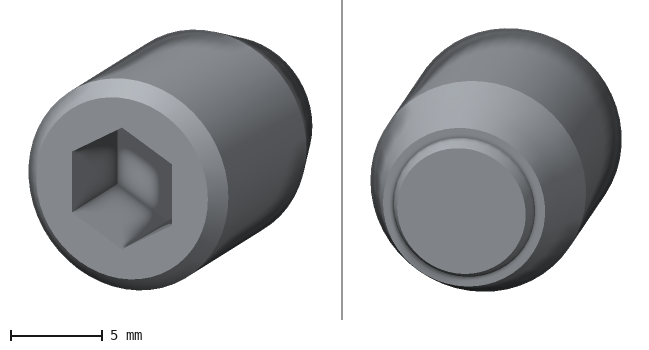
import cadquery as cq
import math

length = 16.0
body_radius = 6.0
chamfer = 0.85
cone_start = 11.17
body_end = 15.25
nose_radius = 4.51

socket_flats = 6.0
socket_depth = 6.0

ball_radius = 4.22
mouth_radius = 3.95
ball_center = body_end - math.sqrt(ball_radius**2 - mouth_radius**2)
flat_radius = math.sqrt(ball_radius**2 - (length - ball_center)**2)


def make_ball():
    """Sphere cut flat at the tip of the screw."""
    return (
        cq.Workplane("XY")
        .moveTo(0, ball_center - ball_radius)
        .threePointArc((ball_radius, ball_center), (flat_radius, length))
        .lineTo(0, length)
        .close()
        .revolve(360, (0, 0, 0), (0, 1, 0))
    )


def make_screw(ball):
    """Turned screw body with a hex socket and a seat matching the ball."""
    blank = (
        cq.Workplane("XY")
        .lineTo(body_radius - chamfer, 0)
        .lineTo(body_radius, chamfer)
        .lineTo(body_radius, cone_start)
        .lineTo(nose_radius, body_end)
        .lineTo(0, body_end)
        .close()
        .revolve(360, (0, 0, 0), (0, 1, 0))
    )
    across_corners = socket_flats / math.cos(math.pi / 6)
    socket = (
        cq.Workplane("XZ")
        .polygon(6, across_corners)
        .extrude(-socket_depth)
        .rotate((0, 0, 0), (0, 1, 0), 30)
    )
    return blank.cut(socket).cut(ball)


ball = make_ball()
screw = make_screw(ball)
result = cq.Compound.makeCompound([screw.val(), ball.val()])